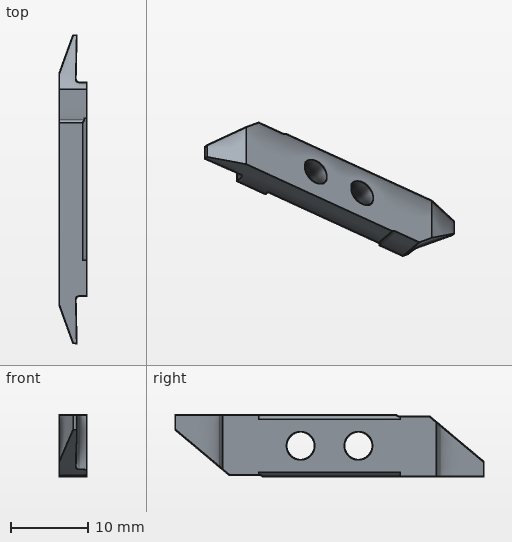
import cadquery as cq
import math

width = 3.6
length = 39.99
height = 8.0
half_width = width / 2
half_length = length / 2
half_height = height / 2

tip_height = 1.92
slope_angle = 40.0
relief_depth = 0.2
relief_start = 8.65
relief_radius = 0.6

bevel_length = 5.0
tip_setback = 0.02
tip_inner_x = 0.0
tip_peak_x = 0.38
tip_outer_x = 0.5
shoulder_edge_y = 13.84
shoulder_root_y = 13.88
shoulder_root_x = 0.37
shoulder_fillet = 0.4

chamfer_size = 0.55
chamfer_stop = 9.2

hole_diameter = 3.6
hole_spacing = 7.5


def side_profile():
    """Parallelogram-like bar whose outline repeats after a half turn about the X axis.

    Each long edge drops to a shallow relief through an arc tangent to the relief floor.
    """
    relief_z = half_height - relief_depth
    tip_z = tip_height - half_height
    slope_length = (relief_z - tip_z) / math.tan(math.radians(slope_angle))
    arc_angle = math.acos(1 - relief_depth / relief_radius)
    arc_end = relief_start + relief_radius * math.sin(arc_angle)
    arc_middle = (
        arc_end - relief_radius * math.sin(arc_angle / 2),
        relief_z + relief_radius * (1 - math.cos(arc_angle / 2)),
    )
    outline = cq.Workplane("YZ").moveTo(-half_length, half_height)
    for turn in (1, -1):
        outline = (
            outline.lineTo(turn * relief_start, turn * half_height)
            .threePointArc(
                (turn * arc_middle[0], turn * arc_middle[1]),
                (turn * arc_end, turn * relief_z),
            )
            .lineTo(turn * (half_length - slope_length), turn * relief_z)
            .lineTo(turn * half_length, turn * tip_z)
            .lineTo(turn * half_length, -turn * half_height)
        )
    return outline.close().extrude(half_width, both=True)


def plan_profile():
    """Bar with bevelled ends on the -X face and stepped shoulders on the +X face."""
    plus_y_end = [
        (half_width, shoulder_edge_y),
        (shoulder_root_x, shoulder_root_y),
        (tip_outer_x, half_length),
        (tip_peak_x, half_length),
        (tip_inner_x, half_length - tip_setback),
        (-half_width, half_length - bevel_length),
    ]
    minus_y_end = [(x, -y) for x, y in reversed(plus_y_end)]
    outline = cq.Workplane("XY").polyline(plus_y_end + minus_y_end).close()
    bar = outline.extrude(half_height, both=True)
    for side in (1, -1):
        root = cq.selectors.NearestToPointSelector((shoulder_root_x, side * shoulder_root_y, 0))
        bar = bar.edges(root).fillet(shoulder_fillet)
    return bar


def chamfer_cutter():
    """Wedge along the upper +X edge."""
    return (
        cq.Workplane("XZ", origin=(0, chamfer_stop, 0))
        .moveTo(half_width - chamfer_size, half_height)
        .lineTo(half_width, half_height)
        .lineTo(half_width, half_height - chamfer_size)
        .close()
        .extrude(2 * chamfer_stop)
    )


def holes():
    """Two through holes along X."""
    centres = [(-hole_spacing / 2, 0), (hole_spacing / 2, 0)]
    return cq.Workplane("YZ").pushPoints(centres).circle(hole_diameter / 2).extrude(width, both=True)


upper_chamfer = chamfer_cutter()
lower_chamfer = upper_chamfer.rotate((0, 0, 0), (1, 0, 0), 180)
result = side_profile().intersect(plan_profile()).cut(upper_chamfer).cut(lower_chamfer).cut(holes())